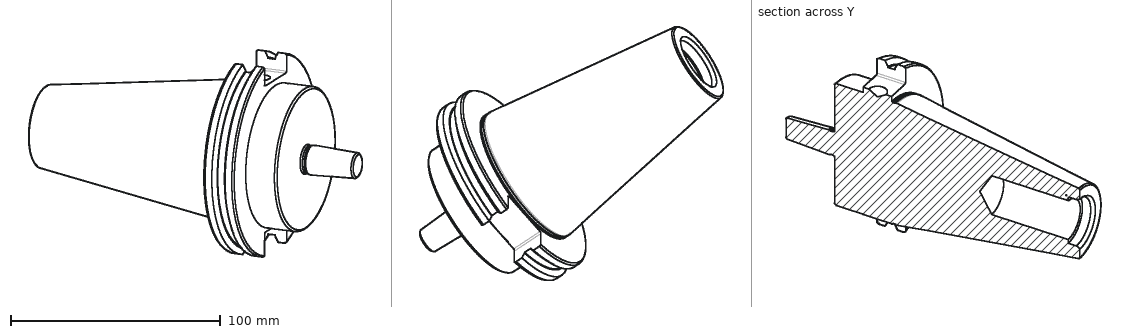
import cadquery as cq
import math

total_length = 163.5

gauge_x = 101.7
gauge_radius = 69.8 / 2
taper_ratio = 7 / 24
small_end_chamfer = 0.7
relief_radius = 69.2 / 2
relief_start_x = 102.7
relief_end_x = 104.0

flange_start_x = 104.7
flange_width = 15.9
flange_radius = 98.0 / 2
rim_chamfer_length = 1.0
rim_chamfer_depth = 0.7
groove_floor_radius = 45.6
groove_floor_width = 3.8
flank_depth = 2.8
flank_angle = 60

nose_end_x = 136.6
nose_radius = gauge_radius
nose_chamfer = 1.0
stub_large_radius = 7.2
stub_end_radius = 6.2
stub_chamfer = 0.8
neck_radius = 13.5 / 2
neck_step = 1.0

slot_width = 25.7
slot_corner_radius = 0.8
upper_floor_z = 37.8
lower_floor_z = -35.0
dimple_diameter = 9.5
dimple_angle = 118

bore_diameter = 22.0
bore_depth = 49.0
bore_tip_angle = 118
counterbore_diameter = 26.2
counterbore_depth = 6.5
mouth_diameter = 28.3
mouth_depth = 2.0

flange_end_x = flange_start_x + flange_width
flange_middle_x = flange_start_x + flange_width / 2
small_end_radius = gauge_radius - gauge_x * taper_ratio / 2


def revolve_about_x(points):
    """Revolve a closed (x, radius) outline about the X axis."""
    return cq.Workplane("XY").polyline(points).close().revolve(360, (0, 0, 0), (1, 0, 0))


def cone_length(diameter, tip_angle):
    return diameter / 2 / math.tan(math.radians(tip_angle / 2))


def make_shank():
    return revolve_about_x([
        (0, 0),
        (0, small_end_radius - small_end_chamfer),
        (small_end_chamfer, small_end_radius + small_end_chamfer * taper_ratio / 2),
        (gauge_x, gauge_radius),
        (relief_start_x, gauge_radius),
        (relief_start_x, relief_radius),
        (relief_end_x, relief_radius),
        (relief_end_x, gauge_radius),
        (flange_start_x, gauge_radius),
        (flange_start_x, 0),
    ])


def make_flange():
    chamfered_radius = flange_radius - rim_chamfer_depth
    flank_radius = flange_radius - flank_depth
    half_floor = groove_floor_width / 2
    half_opening = half_floor + flank_depth / math.tan(math.radians(flank_angle))
    return revolve_about_x([
        (flange_start_x, 0),
        (flange_start_x, chamfered_radius),
        (flange_start_x + rim_chamfer_length, flange_radius),
        (flange_middle_x - half_opening, flange_radius),
        (flange_middle_x - half_floor, flank_radius),
        (flange_middle_x - half_floor, groove_floor_radius),
        (flange_middle_x + half_floor, groove_floor_radius),
        (flange_middle_x + half_floor, flank_radius),
        (flange_middle_x + half_opening, flange_radius),
        (flange_end_x - rim_chamfer_length, flange_radius),
        (flange_end_x, chamfered_radius),
        (flange_end_x, 0),
    ])


def make_nose():
    return revolve_about_x([
        (flange_end_x, 0),
        (flange_end_x, nose_radius),
        (nose_end_x - nose_chamfer, nose_radius),
        (nose_end_x, nose_radius - nose_chamfer),
        (nose_end_x, 0),
    ])


def make_stub():
    """Tapered stub with a shallow waisted neck where it leaves the nose."""
    return revolve_about_x([
        (nose_end_x, 0),
        (nose_end_x, stub_large_radius),
        (nose_end_x + neck_step, neck_radius),
        (nose_end_x + 2 * neck_step, neck_radius),
        (nose_end_x + 3 * neck_step, stub_large_radius),
        (total_length - stub_chamfer, stub_end_radius),
        (total_length, stub_end_radius - stub_chamfer),
        (total_length, 0),
    ])


def make_slot(floor_z):
    """Cutter for a drive slot with rounded floor corners, running outward to the rim."""
    outer_z = math.copysign(flange_radius, floor_z)
    height = abs(outer_z - floor_z)
    floor_edges = "|X and <Z" if floor_z > 0 else "|X and >Z"
    cutter = cq.Workplane("XY").box(flange_width, slot_width, height)
    cutter = cutter.edges(floor_edges).fillet(slot_corner_radius)
    return cutter.translate((flange_middle_x, 0, (outer_z + floor_z) / 2))


def make_dimple():
    depth = cone_length(dimple_diameter, dimple_angle)
    return cq.Workplane(
        cq.Solid.makeCone(
            dimple_diameter / 2, 0, depth,
            pnt=cq.Vector(flange_middle_x, 0, upper_floor_z), dir=cq.Vector(0, 0, -1),
        )
    )


def make_bore():
    bore_radius = bore_diameter / 2
    counterbore_radius = counterbore_diameter / 2
    tip_x = bore_depth + cone_length(bore_diameter, bore_tip_angle)
    return revolve_about_x([
        (0, 0),
        (0, mouth_diameter / 2),
        (mouth_depth, counterbore_radius),
        (counterbore_depth, counterbore_radius),
        (counterbore_depth, bore_radius),
        (bore_depth, bore_radius),
        (tip_x, 0),
    ])


result = make_shank().union(make_flange()).union(make_nose()).union(make_stub())
for floor_z in (upper_floor_z, lower_floor_z):
    result = result.cut(make_slot(floor_z))
result = result.cut(make_dimple()).cut(make_bore())